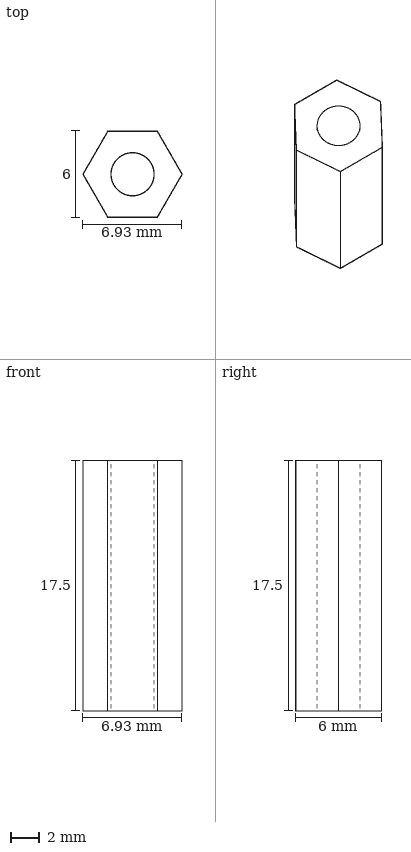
import cadquery as cq
import math

length = 17.5
across_flats = 6.0
bore_diameter = 3.0

across_corners = across_flats / math.cos(math.radians(30))

hex_bar = cq.Workplane("XY").polygon(6, across_corners).extrude(length / 2, both=True)

result = hex_bar.faces(">Z").workplane().hole(bore_diameter)